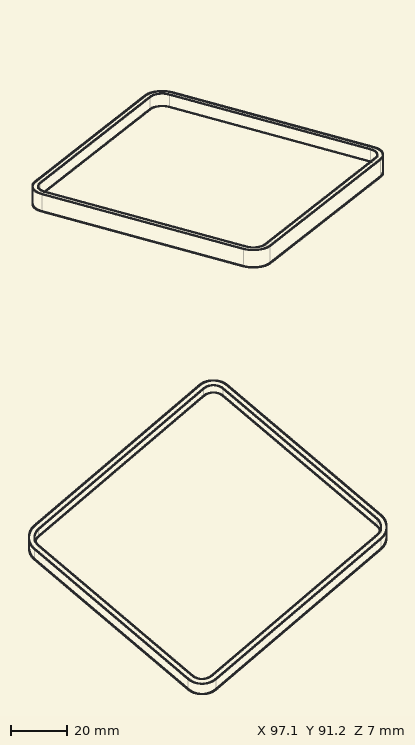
import cadquery as cq

length = 97.1
width = 91.2
height = 7.0
corner_radius = 7.0

wall = 2.0
floor = 2.0


def rounded_block(size_x, size_y, size_z, radius):
    """Block standing on the XY plane with rounded vertical edges."""
    block = cq.Workplane("XY").box(size_x, size_y, size_z, centered=(True, True, False))
    return block.edges("|Z").fillet(radius)


body = rounded_block(length, width, height, corner_radius)

pocket = rounded_block(
    length - 2 * wall,
    width - 2 * wall,
    height - floor,
    corner_radius - wall,
).translate((0, 0, floor))

result = body.cut(pocket)